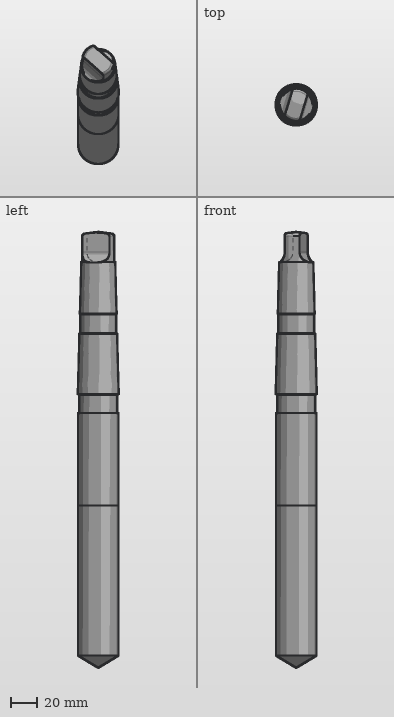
import cadquery as cq
import math

total_length = 333.5
body_diameter = 31.0
body_radius = body_diameter / 2

point_angle = 118.0
point_height = body_radius / math.tan(math.radians(point_angle / 2))
joint_z = 124.0

neck_radius = 29.5 / 2
neck_bottom_z = 194.7
taper_bottom_z = 208.7
groove_radius = 27.7 / 2
groove_bottom_z = 255.5
groove_top_z = 270.0
shoulder_z = 310.0
taper_bottom_radius = 31.7 / 2
taper_top_radius = 26.5 / 2
wall_length = 0.7
taper_edge_z = taper_bottom_z + wall_length

tang_radius = 24.7 / 2
tang_thickness = 12.0
tang_turn = -17.0
flat_fillet_radius = 8.0
flat_foot_depth = 0.5
tang_crown_radius = 10.5
tang_crown_edge_z = 332.0
tang_round_start_z = 330.0
round_bulge = 0.27


def taper_radius(z):
    """Radius of the tapered shank at height z."""
    fraction = (z - taper_edge_z) / (shoulder_z - taper_edge_z)
    return taper_bottom_radius + fraction * (taper_top_radius - taper_bottom_radius)


def make_cutting_end():
    """Cylinder with a conical point."""
    profile = (
        cq.Workplane("XZ")
        .moveTo(0, 0)
        .lineTo(body_radius, point_height)
        .lineTo(body_radius, joint_z)
        .lineTo(0, joint_z)
        .close()
    )
    return profile.revolve(360, (0, 0, 0), (0, 1, 0))


def make_turned_shank():
    """Shank and round tang before the flats are cut."""
    round_mid = (
        (tang_radius + tang_crown_radius) / 2 + round_bulge,
        (tang_round_start_z + tang_crown_edge_z) / 2 + round_bulge,
    )
    profile = (
        cq.Workplane("XZ")
        .moveTo(0, joint_z)
        .lineTo(body_radius, joint_z)
        .lineTo(body_radius, neck_bottom_z)
        .lineTo(neck_radius, neck_bottom_z)
        .lineTo(neck_radius, taper_bottom_z)
        .lineTo(taper_bottom_radius, taper_edge_z)
        .lineTo(taper_radius(groove_bottom_z), groove_bottom_z)
        .lineTo(groove_radius, groove_bottom_z + wall_length)
        .lineTo(groove_radius, groove_top_z)
        .lineTo(taper_radius(groove_top_z + wall_length), groove_top_z + wall_length)
        .lineTo(taper_top_radius, shoulder_z)
        .lineTo(tang_radius, shoulder_z)
        .lineTo(tang_radius, tang_round_start_z)
        .threePointArc(round_mid, (tang_crown_radius, tang_crown_edge_z))
        .lineTo(0, total_length)
        .close()
    )
    return profile.revolve(360, (0, 0, 0), (0, 1, 0))


def make_flat_cutter(turn):
    """Material removed beside one tang flat, with a round at the foot of the flat."""
    flat_x = tang_thickness / 2
    fillet_bottom_z = shoulder_z - flat_foot_depth
    fillet_top_z = fillet_bottom_z + flat_fillet_radius
    fillet_end_x = flat_x + flat_fillet_radius
    diagonal = flat_fillet_radius * math.sqrt(0.5)
    fillet_mid = (fillet_end_x - diagonal, fillet_top_z - diagonal)
    return (
        cq.Workplane("XZ")
        .moveTo(flat_x, total_length)
        .lineTo(flat_x, fillet_top_z)
        .threePointArc(fillet_mid, (fillet_end_x, fillet_bottom_z))
        .lineTo(fillet_end_x, total_length)
        .close()
        .extrude(body_radius, both=True)
        .rotate((0, 0, 0), (0, 0, 1), turn)
    )


def make_shank():
    """Tapered shank with a flat on each side of its tang."""
    shank = make_turned_shank()
    for half_turn in (0, 180):
        shank = shank.cut(make_flat_cutter(tang_turn + half_turn))
    return shank


cutting_end = make_cutting_end()
shank = make_shank()

result = cq.Compound.makeCompound([cutting_end.val(), shank.val()])